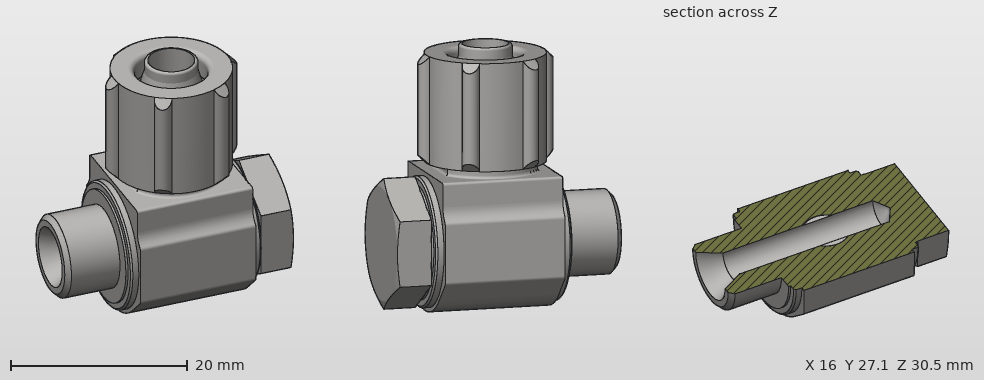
import cadquery as cq
import math

HALF_DEPTH = 7.07
OVERALL_HEIGHT = 30.47
BODY_WIDTH = 16.0
BODY_RADIUS = BODY_WIDTH / 2
TOP_HALF_WIDTH = 7.07
TOP_EDGE_ROUND = 0.3
SHOULDER_TOP = 5.25
SHOULDER_RADIUS = 2.0
CORNER_Z = -3.5
SIDE_ROUND = 0.5

NECK_DIAMETER = 12.1
NECK_FLATS = 10.6
NECK_ROUND = 0.35

SELECT_MARGIN = 0.03

NUT_BOTTOM = 9.02
NUT_TOP = 21.48
NUT_RADIUS = 6.95
LOBE_RADIUS = 1.0
LOBE_COUNT = 6
FIRST_LOBE_ANGLE = 90
NUT_BORE_DIAMETER = 8.35
NUT_MOUTH_DIAMETER = 9.72
NUT_FLOOR = 18.9

TUBE_TOP = OVERALL_HEIGHT - BODY_RADIUS
TUBE_DIAMETER = 6.1
TUBE_BORE_DIAMETER = 5.3
TUBE_EDGE_ROUND = 0.3
TUBE_CONE_TOP = 21.15
TUBE_CONE_BOTTOM = 19.2
TUBE_CONE_DIAMETER = 7.3

WASHER_DIAMETER = 15.0
WASHER_THICKNESS = 0.95
WASHER_CHAMFER = 0.2
COLLAR_DIAMETER = 13.2
COLLAR_THICKNESS = 0.27

HEX_FLATS = 13.07
HEX_END = 12.28
HEX_CHAMFER_DEPTH = 0.3

SPIGOT_DIAMETER = 9.72
SPIGOT_END = 14.8
SPIGOT_CHAMFER = 0.58
SINK_DIAMETER = 7.05
SINK_DEPTH = 2.68
PORT_DIAMETER = 4.0
PORT_DEEP_END = 7.07
PORT_TIP_LENGTH = 1.15


def revolve_about_y(profile):
    """Solid of revolution about Y from (radius, y) points."""
    return cq.Workplane("XY").polyline(profile).close().revolve(360, (0, 0, 0), (0, 1, 0))


def edges_at_level(radius, z):
    """Selector for edges lying at height z within the given radius of the Z axis."""
    reach = radius + SELECT_MARGIN
    low = (-reach, -reach, z - SELECT_MARGIN)
    high = (reach, reach, z + SELECT_MARGIN)
    return cq.selectors.BoxSelector(low, high, boundingbox=True)


def make_body():
    side = BODY_RADIUS
    bend = SHOULDER_RADIUS * math.sin(math.pi / 4)
    ramp_x = TOP_HALF_WIDTH + SHOULDER_RADIUS - bend
    ramp_z = SHOULDER_TOP - bend
    shoulder_z = ramp_z - (side - ramp_x)
    touch = 2 * math.atan2(-CORNER_Z, side)
    touch_x = side * math.cos(touch)
    touch_z = -side * math.sin(touch)
    arc_mid = SHOULDER_RADIUS * math.sin(math.pi / 8)
    arc_x = TOP_HALF_WIDTH + SHOULDER_RADIUS * (1 - math.cos(math.pi / 8))
    arc_z = SHOULDER_TOP - arc_mid
    body = (
        cq.Workplane("XZ")
        .moveTo(-TOP_HALF_WIDTH, BODY_RADIUS)
        .lineTo(TOP_HALF_WIDTH, BODY_RADIUS)
        .lineTo(TOP_HALF_WIDTH, SHOULDER_TOP)
        .threePointArc((arc_x, arc_z), (ramp_x, ramp_z))
        .lineTo(side, shoulder_z)
        .lineTo(side, CORNER_Z)
        .lineTo(touch_x, touch_z)
        .threePointArc((0, -BODY_RADIUS), (-touch_x, touch_z))
        .lineTo(-side, CORNER_Z)
        .lineTo(-side, shoulder_z)
        .lineTo(-ramp_x, ramp_z)
        .threePointArc((-arc_x, arc_z), (-TOP_HALF_WIDTH, SHOULDER_TOP))
        .close()
        .extrude(HALF_DEPTH, both=True)
    )
    body = body.edges("|Y").edges(">Z").fillet(TOP_EDGE_ROUND)
    for x in (-side, side):
        for z in (shoulder_z, CORNER_Z):
            corner = cq.selectors.NearestToPointSelector((x, 0, z))
            body = body.edges("|Y").edges(corner).fillet(SIDE_ROUND)
    return body


def add_neck(body):
    height = NUT_BOTTOM - BODY_RADIUS
    neck = cq.Workplane("XY", origin=(0, 0, BODY_RADIUS)).circle(NECK_DIAMETER / 2).extrude(height)
    flats = cq.Workplane("XY").box(NECK_DIAMETER, NECK_FLATS, 2 * NUT_BOTTOM)
    neck = neck.intersect(flats)
    around_root = edges_at_level(NECK_DIAMETER / 2, BODY_RADIUS)
    return body.union(neck).edges(around_root).fillet(NECK_ROUND)


def make_nut():
    height = NUT_TOP - NUT_BOTTOM
    base = cq.Workplane("XY", origin=(0, 0, NUT_BOTTOM))
    nut = base.circle(NUT_RADIUS).extrude(height)
    lobes = base.polarArray(NUT_RADIUS, FIRST_LOBE_ANGLE, 360, LOBE_COUNT).circle(LOBE_RADIUS).extrude(height)
    outer = NUT_RADIUS + LOBE_RADIUS
    envelope = base.circle(outer).extrude(height).faces("<Z or >Z").chamfer(LOBE_RADIUS)
    nut = nut.union(lobes.intersect(envelope))
    cavity = (
        cq.Workplane("XY", origin=(0, 0, NUT_FLOOR))
        .circle(NUT_BORE_DIAMETER / 2)
        .extrude(NUT_TOP - NUT_FLOOR)
    )
    nut = nut.cut(cavity)
    mouth = edges_at_level(NUT_BORE_DIAMETER / 2, NUT_TOP)
    return nut.edges(mouth).fillet((NUT_MOUTH_DIAMETER - NUT_BORE_DIAMETER) / 2)


def make_tube():
    tip = TUBE_DIAMETER / 2
    foot = TUBE_CONE_DIAMETER / 2
    profile = [
        (0, NUT_BOTTOM), (foot, NUT_BOTTOM), (foot, TUBE_CONE_BOTTOM),
        (tip, TUBE_CONE_TOP), (tip, TUBE_TOP), (0, TUBE_TOP),
    ]
    tube = cq.Workplane("XZ").polyline(profile).close().revolve(360, (0, 0, 0), (0, 1, 0))
    return tube.faces(">Z").edges().fillet(TUBE_EDGE_ROUND)


def make_seat(direction):
    """Washer and collar against the body end facing the given Y direction."""
    rim = WASHER_DIAMETER / 2
    collar = COLLAR_DIAMETER / 2
    washer_end = HALF_DEPTH + WASHER_THICKNESS
    collar_end = washer_end + COLLAR_THICKNESS
    profile = [
        (0, 0), (rim, 0), (rim, washer_end - WASHER_CHAMFER), (rim - WASHER_CHAMFER, washer_end),
        (collar, washer_end), (collar, collar_end), (0, collar_end),
    ]
    return revolve_about_y([(radius, direction * y) for radius, y in profile])


def make_hex_head():
    start = HALF_DEPTH + WASHER_THICKNESS + COLLAR_THICKNESS
    flat = HEX_FLATS / 2
    corner = flat / math.cos(math.pi / 6)
    points = [
        (corner * math.sin(k * math.pi / 3), corner * math.cos(k * math.pi / 3)) for k in range(6)
    ]
    head = (
        cq.Workplane("XZ", origin=(0, start, 0)).polyline(points).close().extrude(start - HEX_END)
    )
    envelope = revolve_about_y([
        (0, start), (corner, start), (corner, HEX_END - HEX_CHAMFER_DEPTH),
        (flat, HEX_END), (0, HEX_END),
    ])
    return head.intersect(envelope)


def make_spigot():
    spigot = cq.Workplane("XZ").circle(SPIGOT_DIAMETER / 2).extrude(SPIGOT_END)
    return spigot.faces("<Y").chamfer(SPIGOT_CHAMFER)


def make_port():
    """Countersunk blind bore entering from the spigot end."""
    bore = PORT_DIAMETER / 2
    return revolve_about_y([
        (0, -SPIGOT_END), (SINK_DIAMETER / 2, -SPIGOT_END), (bore, SINK_DEPTH - SPIGOT_END),
        (bore, PORT_DEEP_END), (0, PORT_DEEP_END + PORT_TIP_LENGTH),
    ])


def make_tube_bore():
    return cq.Workplane("XY").circle(TUBE_BORE_DIAMETER / 2).extrude(TUBE_TOP)


result = (
    add_neck(make_body())
    .union(make_nut())
    .union(make_tube())
    .union(make_seat(1))
    .union(make_seat(-1))
    .union(make_hex_head())
    .union(make_spigot())
    .cut(make_port())
    .cut(make_tube_bore())
)